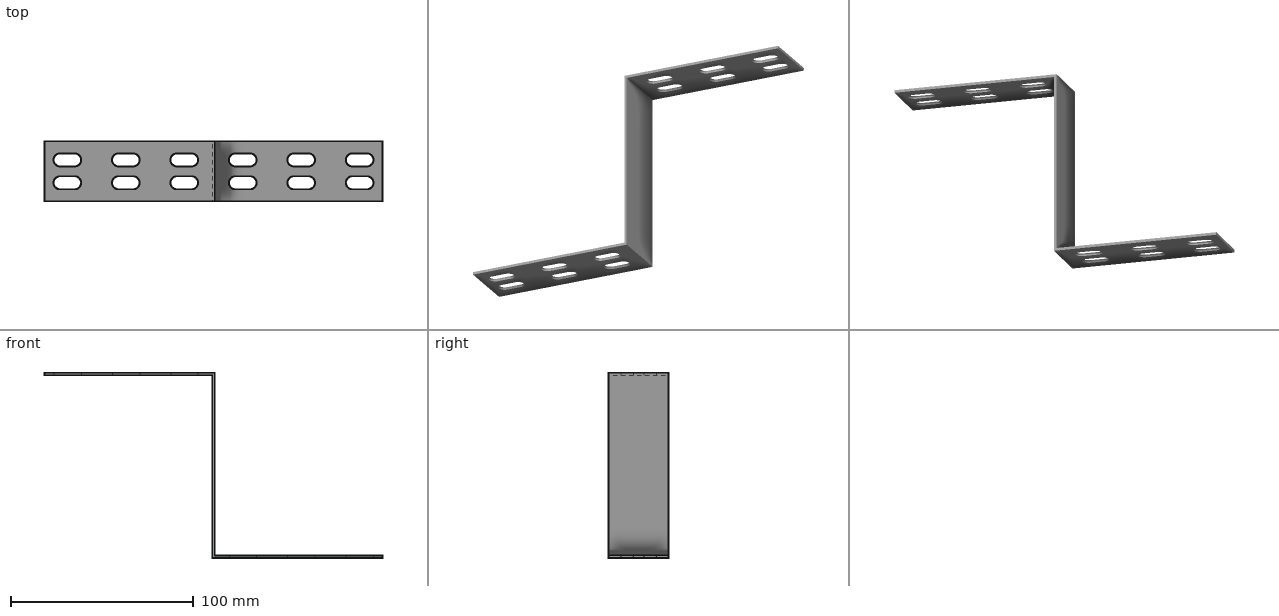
import cadquery as cq

LENGTH = 185.0
WIDTH = 33.0
HEIGHT = 101.5
THICKNESS = 1.5

SLOT_LENGTH = 15.0
SLOT_WIDTH = 7.0
SLOT_END_MARGIN = 5.0
SLOT_PITCH_X = 32.0
SLOT_PITCH_Y = 12.5
SLOTS_PER_ROW = 3
ROWS = 2

HALF_LENGTH = LENGTH / 2
HALF_HEIGHT = HEIGHT / 2
HALF_THICKNESS = THICKNESS / 2

OUTER_SLOT_X = HALF_LENGTH - SLOT_END_MARGIN - SLOT_LENGTH / 2
SLOT_GROUP_X = OUTER_SLOT_X - SLOT_PITCH_X * (SLOTS_PER_ROW - 1) / 2


def bracket_body():
    """Sharp-cornered Z profile: upper flange to -X, lower flange to +X."""
    outline = [
        (-HALF_LENGTH, HALF_HEIGHT),
        (HALF_THICKNESS, HALF_HEIGHT),
        (HALF_THICKNESS, -HALF_HEIGHT + THICKNESS),
        (HALF_LENGTH, -HALF_HEIGHT + THICKNESS),
        (HALF_LENGTH, -HALF_HEIGHT),
        (-HALF_THICKNESS, -HALF_HEIGHT),
        (-HALF_THICKNESS, HALF_HEIGHT - THICKNESS),
        (-HALF_LENGTH, HALF_HEIGHT - THICKNESS),
    ]
    return cq.Workplane("XZ").polyline(outline).close().extrude(WIDTH / 2, both=True)


def flange_slots(center_x, bottom_z):
    """Cutters for the slots of one flange, with their length along X."""
    return (
        cq.Workplane("XY")
        .workplane(offset=bottom_z)
        .center(center_x, 0)
        .rarray(SLOT_PITCH_X, SLOT_PITCH_Y, SLOTS_PER_ROW, ROWS)
        .slot2D(SLOT_LENGTH, SLOT_WIDTH)
        .extrude(THICKNESS)
    )


upper_slots = flange_slots(-SLOT_GROUP_X, HALF_HEIGHT - THICKNESS)
lower_slots = flange_slots(SLOT_GROUP_X, -HALF_HEIGHT)

result = bracket_body().cut(upper_slots).cut(lower_slots)